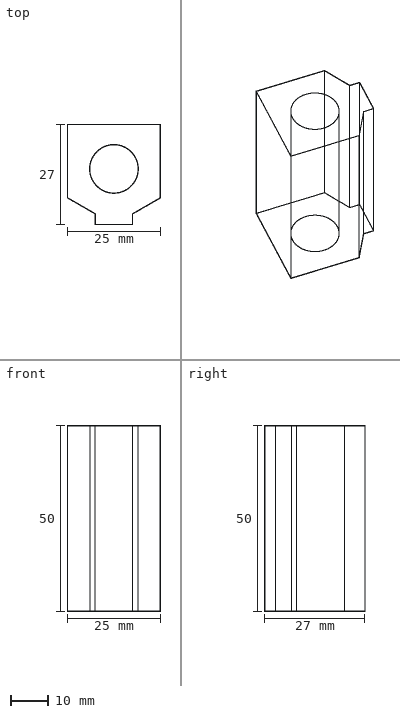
import cadquery as cq
import math

height = 50.0
width = 25.0
depth = 27.0
rib_width = 10.1
rib_length = 2.9
shoulder_angle = 30.0
bore_diameter = 13.0
bore_to_back = 12.0

back_y = bore_to_back
rib_tip_y = back_y - depth
rib_root_y = rib_tip_y + rib_length
half_width = width / 2
half_rib = rib_width / 2
shoulder_drop = (half_width - half_rib) * math.tan(math.radians(shoulder_angle))
shoulder_y = rib_root_y + shoulder_drop


def make_body():
    """Prism with a flat back, sloped shoulders and a front rib."""
    outline = [
        (-half_width, back_y),
        (-half_width, shoulder_y),
        (-half_rib, rib_root_y),
        (-half_rib, rib_tip_y),
        (half_rib, rib_tip_y),
        (half_rib, rib_root_y),
        (half_width, shoulder_y),
        (half_width, back_y),
    ]
    return cq.Workplane("XY").polyline(outline).close().extrude(height)


def make_bore():
    """Cylinder that cuts the bore through the full height."""
    return cq.Workplane("XY").circle(bore_diameter / 2).extrude(height)


result = make_body().cut(make_bore())